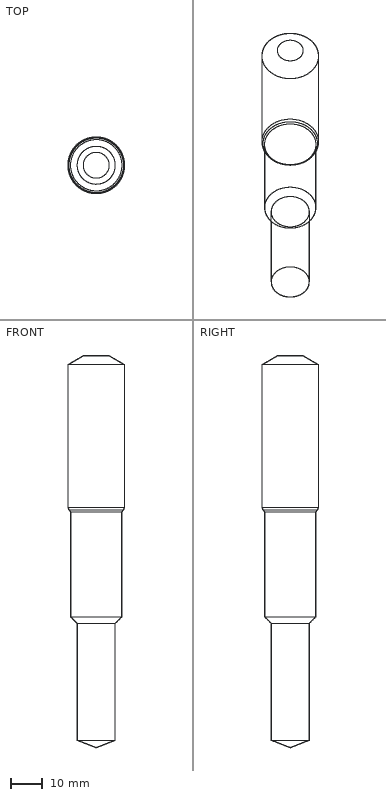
import cadquery as cq

total_length = 124.0
head_diameter = 18.0
shank_diameter = 16.2
pin_diameter = 12.0
joint_diameter = 17.2
top_flat_diameter = 8.2

pin_tip_height = 2.4
shoulder_bottom = 39.3
collar_bottom = 74.6
head_bottom = 75.1
head_chamfer_height = 0.9
top_cone_height = 2.9

head_radius = head_diameter / 2
shank_radius = shank_diameter / 2
pin_radius = pin_diameter / 2
joint_radius = joint_diameter / 2
shoulder_height = shank_radius - pin_radius


def revolve_profile(points):
    """Revolve a closed (radius, height) profile about the Z axis."""
    return cq.Workplane("XZ").polyline(points).close().revolve(360, (0, 0), (0, 1))


def make_head():
    """Upper cylinder with a conical top and a chamfer down to the joint."""
    return revolve_profile([
        (0, head_bottom),
        (joint_radius, head_bottom),
        (head_radius, head_bottom + head_chamfer_height),
        (head_radius, total_length - top_cone_height),
        (top_flat_diameter / 2, total_length),
        (0, total_length),
    ])


def make_stepped_pin():
    """Pointed pin that widens into a shank and flares out to meet the head."""
    return revolve_profile([
        (0, 0),
        (pin_radius, pin_tip_height),
        (pin_radius, shoulder_bottom),
        (shank_radius, shoulder_bottom + shoulder_height),
        (shank_radius, collar_bottom),
        (joint_radius, head_bottom),
        (0, head_bottom),
    ])


head = make_head()
stepped_pin = make_stepped_pin()

result = cq.Compound.makeCompound([head.val(), stepped_pin.val()])